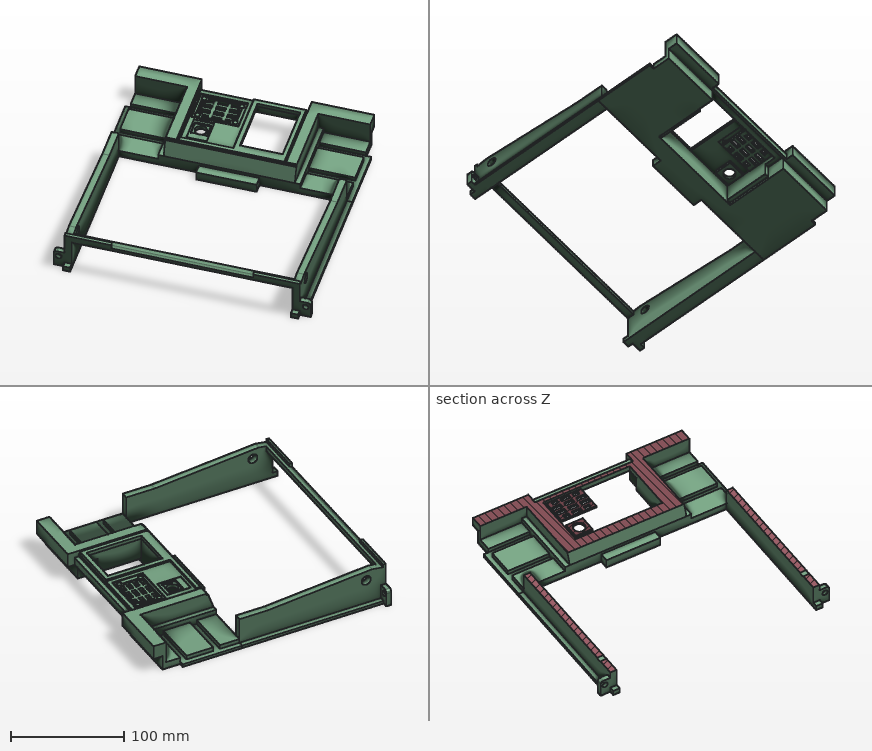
import cadquery as cq


body_half_width = 108.2
strip_half_width = 113.2
strip_height = 2.9
top_height = 28.4

arm_thickness = 6.7
arm_inner = body_half_width - arm_thickness
arm_flat_length = 28.5
arm_peak_y = -133.0
arm_peak_z = 37.2
front_y = -147.0
lip_thickness = 2.9
lip_back_y = front_y + lip_thickness
lip_back_z = 35.5
lip_drop = 0.5
frame_height = 38.5
bar_back_y = -140.4
bar_bottom = 31.2
lip_notch_half_width = 65.3
lip_notch_front_z = 34.3
pivot_hole_y = -127.3
pivot_hole_z = 27.0
pivot_hole_radius = 4.5
ear_half_width = 118.2
ear_back_y = -142.0
ear_height = 17.0
ear_round = 2.9
ear_hole_x = 113.7
ear_hole_z = 11.2
ear_hole_radius = 2.6
foot_length = 5.0
foot_height = 5.0

pad_height = 7.0
flange_back_y = 59.5
pad_front_length = 19.5
pad_middle_start = 26.5
pad_middle_end = 53.1
wall_front_y = 73.5
base_back_y = 77.2
overhang_back_y = 86.3
overhang_bottom = 14.5
ledge_half_width = 65.3
ledge_height = 11.7
hump_half_width = 60.3
hump_inner = 50.5
slope_top_y = 5.2
lip_z = 26.5
step_y = 7.0
deck_z = 24.8
deck_end_y = 75.0
deck_back_y = 79.4
rim_z = 22.5
rim_back_z = 22.2
rear_opening_height = 17.9
rear_opening_half_width = 48.6
underside_relief = 3.5
tongue_width = 55.8
tongue_length = 8.8
tongue_height = 8.8

cover_half_width = 48.6
panel_right_x = 0.5
panel_front_y = 10.7
panel_z = 26.5
window_left_x = 5.2
window_half_width = 44.5
window_front_y = 15.7
window_back_y = 70.5

mount_collar_wall = 1.5

grille_x = -25.0
grille_y = 55.5
grille_recess_size = (43.1, 30.3)
grille_recess_depth = 1.0
slot_columns, slot_rows = 3, 4
slot_length, slot_height = 8.5, 3.5
column_gap, row_gap = 3.8, 3.0
column_pitch = slot_length + column_gap
row_pitch = slot_height + row_gap
grille_opening_size = (
    slot_columns * column_pitch - column_gap,
    slot_rows * row_pitch - row_gap,
)
grille_bars_z = deck_z
grille_bottom = 21.5
post_radius = 2.5
post_height = 0.5
post_pad_radius = 4.3
post_spacing = (34.8, 21.5)

sensor_x = -34.0
sensor_y = 27.2
sensor_block_y = (13.8, 37.2)
sensor_block_width = 18.5
sensor_block_z = 27.0
sensor_seat_size = (14.8, 13.8)
sensor_seat_z = 25.3
sensor_hole_radius = 5.5
sensor_collar_bottom = 21.5


def box(x_range, y_range, z_range):
    """Box between the given limits on each axis."""
    (x0, x1), (y0, y1), (z0, z1) = x_range, y_range, z_range
    return cq.Workplane("XY").box(x1 - x0, y1 - y0, z1 - z0, centered=False).translate((x0, y0, z0))


def centered_box(half_width, y_range, z_range):
    """Box symmetric about the plane X = 0."""
    return box((-half_width, half_width), y_range, z_range)


def profile(points, x0, x1):
    """Prism along X from x0 to x1 with a (Y, Z) outline."""
    return cq.Workplane("YZ").polyline(points).close().extrude(x1 - x0).translate((x0, 0, 0))


def both_sides(solid):
    """A feature together with its mirror image across X = 0."""
    return solid.union(solid.mirror("YZ"))


def frame_side():
    """Right arm with its base flange, ear and foot."""
    arm = profile(
        [
            (0, 0),
            (0, top_height),
            (-arm_flat_length, top_height),
            (arm_peak_y, arm_peak_z),
            (lip_back_y, lip_back_z),
            (front_y, lip_back_z - lip_drop),
            (front_y, 0),
        ],
        arm_inner,
        body_half_width,
    )
    pivot_hole = (
        cq.Workplane("YZ")
        .center(pivot_hole_y, pivot_hole_z)
        .circle(pivot_hole_radius)
        .extrude(ear_half_width)
    )
    flange = box((body_half_width, strip_half_width), (ear_back_y, 0), (0, strip_height))
    ear = box((body_half_width, ear_half_width), (front_y, ear_back_y), (0, ear_height))
    ear = ear.edges(">X and >Z").fillet(ear_round)
    ear_hole = (
        cq.Workplane("XZ", origin=(ear_hole_x, ear_back_y, ear_hole_z))
        .circle(ear_hole_radius)
        .extrude(ear_back_y - front_y)
    )
    foot = box((arm_inner, body_half_width), (front_y - foot_length, front_y), (0, foot_height))
    return arm.cut(pivot_hole).union(flange).union(ear.cut(ear_hole)).union(foot)


def front_bar():
    """Cross bar whose raised front lip is notched in the middle."""
    arm_fall = (arm_peak_z - lip_back_z) / (arm_peak_y - lip_back_y)
    bar_back_z = lip_back_z + arm_fall * (bar_back_y - lip_back_y)
    bar = profile(
        [
            (bar_back_y, bar_bottom),
            (bar_back_y, bar_back_z),
            (lip_back_y, lip_back_z),
            (front_y, lip_notch_front_z),
            (front_y, bar_bottom),
        ],
        -body_half_width,
        body_half_width,
    )
    lip_end = profile(
        [
            (lip_back_y, bar_bottom),
            (lip_back_y, frame_height),
            (front_y, frame_height - lip_drop),
            (front_y, bar_bottom),
        ],
        lip_notch_half_width,
        body_half_width,
    )
    return bar.union(both_sides(lip_end))


def make_frame():
    return both_sides(frame_side()).union(front_bar())


def console_base():
    """Flange plate, stepped pads and central ledge."""
    base = centered_box(strip_half_width, (0, flange_back_y), (0, strip_height))
    pads = [
        (0, pad_front_length),
        (pad_middle_start, pad_middle_end),
        (flange_back_y, base_back_y),
    ]
    for y_range in pads:
        base = base.union(centered_box(body_half_width, y_range, (0, pad_height)))
    ledge = centered_box(ledge_half_width, (0, base_back_y), (0, ledge_height))
    tongue = centered_box(tongue_width / 2, (-tongue_length, 0), (0, tongue_height))
    return base.union(ledge).union(tongue)


def console_top():
    """Sloped front, low deck between two humps, and the overhanging rear wall."""
    deck = profile(
        [
            (0, 0),
            (0, ledge_height),
            (slope_top_y, lip_z),
            (step_y, lip_z),
            (step_y, deck_z),
            (deck_end_y, deck_z),
            (deck_end_y, rim_z),
            (deck_back_y, rim_back_z),
            (deck_back_y, overhang_bottom),
            (base_back_y, overhang_bottom),
            (base_back_y, 0),
        ],
        -hump_half_width,
        hump_half_width,
    )
    hump = profile(
        [
            (0, 0),
            (0, ledge_height),
            (slope_top_y, lip_z),
            (step_y, lip_z),
            (step_y, top_height),
            (base_back_y, top_height),
            (base_back_y, 0),
        ],
        hump_inner,
        hump_half_width,
    )
    rear_wall = profile(
        [
            (wall_front_y, 0),
            (wall_front_y, top_height),
            (overhang_back_y, top_height),
            (overhang_back_y, overhang_bottom),
            (base_back_y, overhang_bottom),
            (base_back_y, 0),
        ],
        hump_inner,
        body_half_width,
    )
    return deck.union(both_sides(hump.union(rear_wall)))


def make_console():
    window = centered_box(window_half_width, (window_front_y, window_back_y), (0, deck_z))
    rear_opening = centered_box(
        rear_opening_half_width, (flange_back_y, base_back_y), (0, rear_opening_height)
    )
    relief = centered_box(
        rear_opening_half_width, (window_front_y, flange_back_y), (0, underside_relief)
    )
    return console_base().union(console_top()).cut(window).cut(rear_opening).cut(relief)


def add_grille(cover):
    """Recessed opening crossed by sunken bars, with a low post on a round pad at each corner."""
    floor = cq.Workplane("XY", origin=(grille_x, grille_y, panel_z - grille_recess_depth))
    bars_top = cq.Workplane("XY", origin=(grille_x, grille_y, grille_bars_z))
    recess = floor.rect(*grille_recess_size).extrude(grille_recess_depth)
    frame_size = (size + 2 * mount_collar_wall for size in grille_opening_size)
    collar = bars_top.rect(*frame_size).extrude(grille_bottom - grille_bars_z)
    opening = bars_top.rect(*grille_opening_size).extrude(panel_z - grille_bars_z)
    slots = (
        bars_top.rarray(column_pitch, row_pitch, slot_columns, slot_rows)
        .rect(slot_length, slot_height)
        .extrude(grille_bottom - grille_bars_z)
    )
    pads = (
        floor.rarray(*post_spacing, 2, 2)
        .circle(post_pad_radius)
        .extrude(grille_bottom - panel_z + grille_recess_depth)
    )
    posts = floor.rarray(*post_spacing, 2, 2).circle(post_radius).extrude(post_height)
    pads = pads.intersect(opening.union(collar))
    return cover.cut(recess).cut(opening).union(collar.cut(slots)).union(pads).union(posts)


def add_sensor_mount(cover):
    """Raised block with a square seat, a collar below it and a round through hole."""
    half_width = sensor_block_width / 2
    block = box(
        (sensor_x - half_width, sensor_x + half_width), sensor_block_y, (deck_z, sensor_block_z)
    )
    collar = (
        cq.Workplane("XY", origin=(sensor_x, sensor_y, sensor_collar_bottom))
        .rect(*(size + 2 * mount_collar_wall for size in sensor_seat_size))
        .extrude(deck_z - sensor_collar_bottom)
    )
    seat = (
        cq.Workplane("XY", origin=(sensor_x, sensor_y, sensor_seat_z))
        .rect(*sensor_seat_size)
        .extrude(sensor_block_z - sensor_seat_z)
    )
    hole = (
        cq.Workplane("XY", origin=(sensor_x, sensor_y, sensor_collar_bottom))
        .circle(sensor_hole_radius)
        .extrude(sensor_block_z - sensor_collar_bottom)
    )
    return cover.union(block).union(collar).cut(seat).cut(hole)


def make_cover():
    """Plate on the deck: raised bezel round the window, low panel beside it."""
    plate = centered_box(cover_half_width, (step_y, deck_end_y), (deck_z, top_height))
    panel_step = box(
        (-cover_half_width, panel_right_x), (panel_front_y, deck_end_y), (panel_z, top_height)
    )
    window = box(
        (window_left_x, window_half_width), (window_front_y, window_back_y), (deck_z, top_height)
    )
    return add_sensor_mount(add_grille(plate.cut(panel_step).cut(window)))


frame = make_frame()
console = make_console()
cover = make_cover()

result = cq.Compound.makeCompound([frame.val(), console.val(), cover.val()])